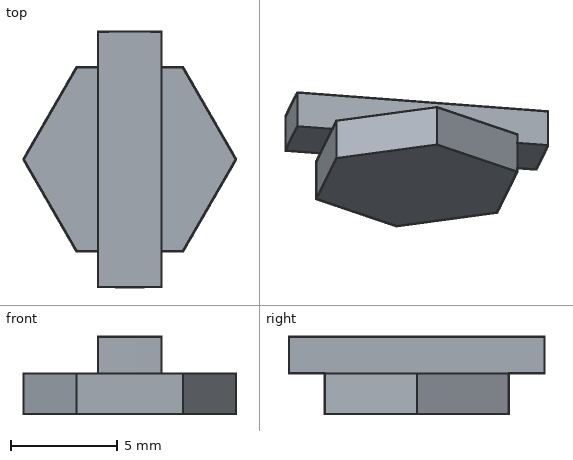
import cadquery as cq

hex_across_corners = 10.0
hex_thickness = 1.91
bar_width = 3.0
bar_length = 12.03
bar_end_bulge = 0.015
total_height = 3.65

bar_height = total_height - hex_thickness
half_width = bar_width / 2
half_length = bar_length / 2
corner_y = half_length - bar_end_bulge

plate = cq.Workplane("XY").polygon(6, hex_across_corners).extrude(hex_thickness)

bar = (
    cq.Workplane("XY")
    .workplane(offset=hex_thickness)
    .moveTo(-half_width, -corner_y)
    .threePointArc((0, -half_length), (half_width, -corner_y))
    .lineTo(half_width, corner_y)
    .threePointArc((0, half_length), (-half_width, corner_y))
    .close()
    .extrude(bar_height)
)

result = plate.union(bar)